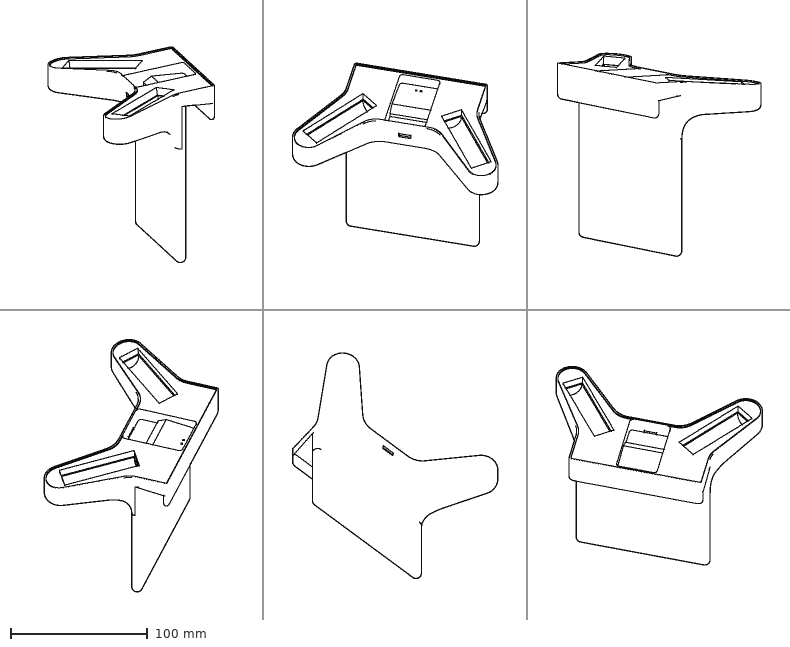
import cadquery as cq
import math

total_width = 154.0
total_depth = 90.2
total_height = 134.0
front_drop = 11.0

body_width = 100.3
body_front = 51.7
slab_underside = -13.4
arm_underside = -29.9
arm_edge_radius = 3.7
plan_blend_radius = 15.4
gap_radius = 16.2
under_blend_radius = 15.9

foot_radius = 12.0
outer_leg_angle = 59.3
inner_leg_angle = 47.5

plate_back = 21.5
plate_front = 29.5

lip_thickness = 3.5
lip_bottom = -26.8
lip_corner_radius = 4.0
back_corner_radius = 1.8
lip_inner_radius = 1.5

rim_width = 1.4
rim_height = 1.0
rim_edge_radius = 0.3

pocket_width = 30.3
pocket_back = 3.1
pocket_floor = -9.5
pocket_ramp_start = 27.5
pocket_ramp_end = 33.9
pocket_ramp_bottom = -13.7
pocket_well_depth = 12.2
pocket_corner_radius = 2.3

port_width = 9.4
port_height = 3.4
port_depth_below_top = 12.3
port_chamfer = 0.8

pin_spacing = 3.7
pin_from_back = 8.5
pin_diameter = 1.8
pin_bore = 1.2
pin_bottom = -17.0

trough_length = 56.7
trough_width = 15.7
trough_angle = 53.4
trough_foot_gap = 0.8
trough_ledge_depth = 7.0
trough_ledge = 1.0
groove_wall = 1.7

slope = math.atan2(front_drop, total_depth)
half_width = body_width / 2
plate_middle = (plate_back + plate_front) / 2
plate_radius = (plate_front - plate_back) / 2
foot_x = total_width / 2 - foot_radius
foot_y = -(total_depth - foot_radius)
head_height = under_blend_radius - arm_underside
overlap = 1.5
clearance = 15.4
near = 0.2


def top_z(y):
    """Height of the sloped top at a given Y."""
    return y * math.tan(slope)


def top_plane(x, y, heading=0.0):
    """Plane lying in the sloped top at (x, y), turned by heading degrees in that top."""
    plane = cq.Plane(
        origin=(x, y, top_z(y)), xDir=(1, 0, 0), normal=(0, -math.sin(slope), math.cos(slope))
    )
    return plane.rotated((0, 0, heading))


def side_profile(points, width):
    """Solid of the given width, centred on X, from a (Y, Z) outline."""
    return cq.Workplane("YZ").polyline(points).close().extrude(width / 2, both=True)


def foot_point(angle, inset):
    """Point on the right-hand foot circle at an angle in degrees from X."""
    radius = foot_radius - inset
    return (
        foot_x + radius * math.cos(math.radians(angle)),
        foot_y + radius * math.sin(math.radians(angle)),
    )


def mirrored(point):
    return (-point[0], point[1])


def plan_solid(inset):
    """Full-height body and legs, with every wall moved inwards by inset."""
    side = half_width - inset
    outer = foot_point(90 - outer_leg_angle, inset)
    middle = foot_point(-outer_leg_angle, inset)
    inner = foot_point(-90 - inner_leg_angle, inset)
    knee = (side, outer[1] + (outer[0] - side) * math.tan(math.radians(outer_leg_angle)))
    blank = (
        cq.Workplane("XY")
        .moveTo(side, -inset)
        .lineTo(*knee)
        .lineTo(*outer)
        .threePointArc(middle, inner)
        .lineTo(*mirrored(inner))
        .threePointArc(mirrored(middle), mirrored(outer))
        .lineTo(*mirrored(knee))
        .lineTo(-side, -inset)
        .close()
        .extrude(-head_height)
    )
    knee_region = cq.selectors.BoxSelector(
        (-side - 1.5, knee[1] - 1.5, -head_height), (side + 1.5, knee[1] + 1.5, 0)
    )
    blank = blank.edges("|Z").edges(knee_region).fillet(plan_blend_radius + inset)
    blank = blank.faces(">Y").edges("|Z").fillet(back_corner_radius - inset)

    apex = (0, inner[1] + inner[0] * math.tan(math.radians(inner_leg_angle)))
    gap = (
        cq.Workplane("XY")
        .workplane(offset=-head_height)
        .polyline([inner, apex, mirrored(inner)])
        .close()
        .extrude(head_height + clearance)
    )
    front_keeper = cq.Workplane(top_plane(0, inset - body_front)).box(
        total_width, total_depth, 3 * head_height, centered=(True, False, True)
    )
    gap = gap.cut(front_keeper)
    gap_corners = cq.selectors.BoxSelector(
        (-inner[0] + 1.5, inner[1] + 1.5, -head_height + 1.5), (inner[0] - 1.5, 0, clearance - 1.5)
    )
    gap = gap.edges(gap_corners).edges("not #Z").fillet(gap_radius - inset)
    return blank.cut(gap)


def make_head():
    """Sloped body with both legs, blended down into the plate."""
    blend_y = -plate_front - under_blend_radius
    envelope = (
        cq.Workplane("YZ")
        .moveTo(0, 0)
        .lineTo(0, slab_underside)
        .lineTo(-plate_middle, slab_underside)
        .lineTo(-plate_middle, -head_height)
        .lineTo(-plate_front, -head_height)
        .radiusArc((blend_y, arm_underside), -under_blend_radius)
        .lineTo(-total_depth, arm_underside)
        .lineTo(-total_depth, top_z(-total_depth))
        .close()
        .extrude(total_width / 2, both=True)
    )
    head = plan_solid(0).intersect(envelope)

    side_blends = cq.selectors.BoxSelector(
        (-total_width, blend_y, -head_height), (total_width, -plate_front, arm_underside)
    )
    leg_undersides = cq.selectors.BoxSelector(
        (-total_width, -total_depth, arm_underside - near),
        (total_width, blend_y - near, arm_underside + near),
    )
    rim = head.edges(leg_undersides).add(head.edges("not |X").edges(side_blends).edges("not |Z"))
    head = rim.fillet(arm_edge_radius)
    return head.faces(">Z").edges().fillet(rim_edge_radius)


def make_plate():
    """Flat hanging plate whose upright and lower edges are fully round."""
    end_x = half_width - plate_radius
    end_z = plate_radius - total_height
    rise = slab_underside + overlap - end_z
    plate = cq.Workplane("XY", origin=(0, -plate_middle, end_z)).box(
        2 * end_x, 2 * plate_radius, rise, centered=(True, True, False)
    )
    left_end = (-end_x, -plate_middle, end_z)
    lower_edge = cq.Workplane("YZ", origin=left_end).circle(plate_radius).extrude(2 * end_x)
    ends = cq.Workplane("XY", origin=left_end).pushPoints([(0, 0), (2 * end_x, 0)])
    upright_edges = ends.circle(plate_radius).extrude(rise)
    corners = ends.sphere(plate_radius)
    return plate.union(lower_edge).union(upright_edges).union(corners)


def make_lip():
    """Thin hook that hangs down along the back edge."""
    height = slab_underside + overlap - lip_bottom
    lip = cq.Workplane("XY", origin=(0, -lip_thickness, lip_bottom)).box(
        body_width, lip_thickness, height, centered=(True, False, False)
    )
    lip = lip.edges("|Y and <Z").fillet(lip_corner_radius)
    lip = lip.faces("<Y").edges("not >Z").fillet(lip_inner_radius)
    return lip.faces(">Y").edges("not >Z").fillet(back_corner_radius)


def make_pocket():
    """Stepped pocket in the top: flat floor, ramp, then a deeper well behind the front wall."""

    def well_point(y, depth):
        return (y + depth * math.sin(slope), top_z(y) - depth * math.cos(slope))

    front_wall = rim_width - body_front
    well_front = well_point(front_wall, pocket_well_depth)
    well_back = (
        -pocket_ramp_end,
        well_front[1] - (pocket_ramp_end + well_front[0]) * math.tan(slope),
    )
    profile = [
        (-pocket_back, clearance),
        (-pocket_back, pocket_floor),
        (-pocket_ramp_start, pocket_floor),
        (-pocket_ramp_end, pocket_ramp_bottom),
        well_back,
        well_front,
        well_point(front_wall, -clearance),
    ]
    pocket = side_profile(profile, pocket_width)
    back_corners = pocket.faces(">Y").edges("|Z")
    front_corners = pocket.edges("not |X").edges(
        cq.selectors.BoxSelector(
            (-pocket_width, front_wall - 1.5, well_front[1]), (pocket_width, front_wall + 1.5, clearance)
        )
    )
    return back_corners.add(front_corners).fillet(pocket_corner_radius)


def make_port():
    """Connector opening through the front wall into the well."""
    half_port = port_width / 2
    wall = top_plane(0, -body_front).rotated((90, 0, 0))
    top = port_height / 2 - port_depth_below_top
    bottom = top - port_height
    return (
        cq.Workplane(wall)
        .polyline([
            (-half_port, top),
            (half_port, top),
            (half_port, bottom + port_chamfer),
            (half_port - port_chamfer, bottom),
            (port_chamfer - half_port, bottom),
            (-half_port, bottom + port_chamfer),
        ])
        .close()
        .extrude(-rim_width)
    )


def make_pins(diameter):
    """Pair of upright pins between the pocket floor and their lower ends."""
    return (
        cq.Workplane("XY", origin=(0, -pin_from_back, pin_bottom))
        .pushPoints([(-pin_spacing / 2, 0), (pin_spacing / 2, 0)])
        .circle(diameter / 2)
        .extrude(pocket_floor - pin_bottom)
    )


def make_rim_recess():
    """Shallow recess over the whole top that leaves a thin raised rim."""
    above_floor = (
        cq.Workplane(top_plane(0, 0))
        .workplane(offset=-rim_height)
        .rect(2 * total_width, 4 * total_depth)
        .extrude(clearance)
    )
    return plan_solid(rim_width).intersect(above_floor)


def make_trough():
    """Right-hand trough: a rectangle above a narrower round-bottomed groove, square to the top."""
    centre_distance = trough_foot_gap + trough_length / 2
    heading = math.radians(180 - trough_angle)
    plane = top_plane(
        foot_x + centre_distance * math.cos(heading),
        foot_y + centre_distance * math.sin(heading),
        -trough_angle,
    )
    rectangle = cq.Workplane(plane).box(trough_length, trough_width, 2 * trough_ledge_depth)
    groove_radius = trough_width / 2 - trough_ledge
    groove_end = trough_length / 2 - trough_ledge
    arc_depth = -trough_ledge_depth - groove_wall
    groove = (
        cq.Workplane(plane.rotated((90, 90, 0)))
        .workplane(offset=-groove_end)
        .moveTo(-groove_radius, 0)
        .lineTo(-groove_radius, arc_depth)
        .threePointArc((0, arc_depth - groove_radius), (groove_radius, arc_depth))
        .lineTo(groove_radius, 0)
        .close()
        .extrude(2 * groove_end)
    )
    return rectangle.union(groove)


right_trough = make_trough()
result = (
    make_head()
    .union(make_plate())
    .union(make_lip())
    .union(make_pins(pin_diameter))
    .cut(make_rim_recess())
    .cut(make_pocket())
    .cut(make_port())
    .cut(make_pins(pin_bore))
    .cut(right_trough)
    .cut(right_trough.mirror("YZ"))
)